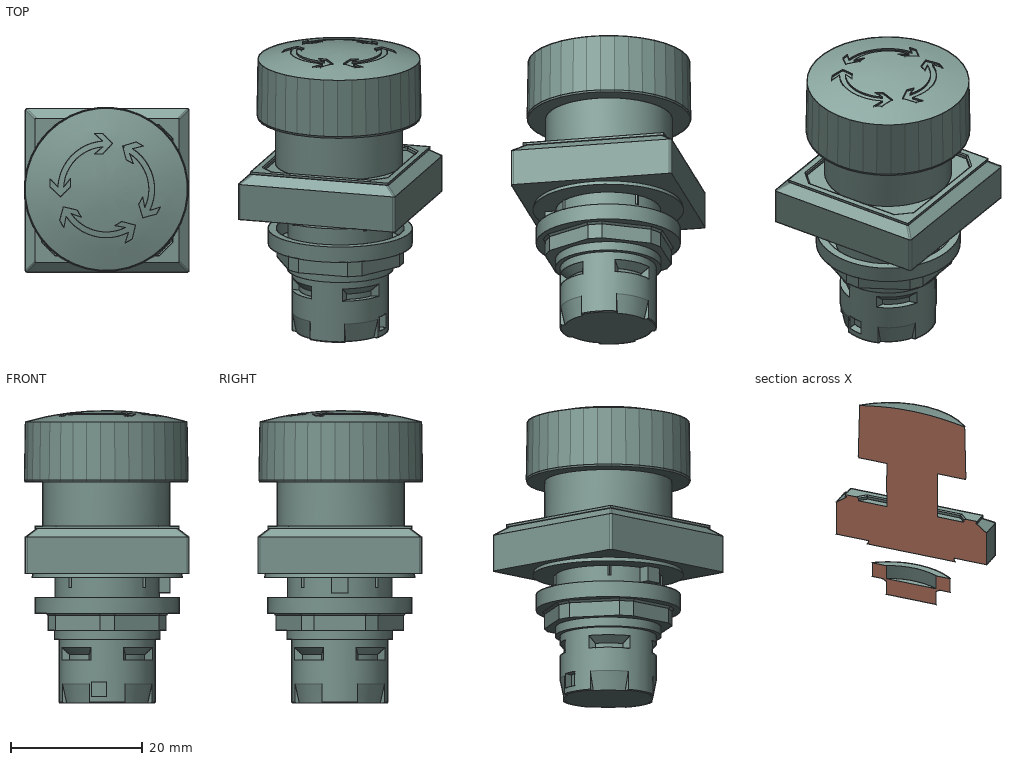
import cadquery as cq
import math

overall_height = 44.61

barrel_d = 14.7
barrel_edge_chamfer = 0.15
z_collar_bottom = 9.72
collar_d = 16.15

z_nut_bottom = 11.09
z_nut_flare = 13.36
z_washer_bottom = 13.7
z_washer_top = 16.13
nut_across_flats = 18.0
nut_across_corners = 19.5
nut_flare = 0.3
washer_d = 22.0
washer_recess_d = 19.5
z_washer_recess = 13.9

z_neck_top = 19.15
neck_d = 16.0
key_reach = 9.6
key_width = 2.5
z_key_bottom = 16.83
lug_square = 11.68
lug_d = 16.5
z_lug_bottom = 17.64

gasket_d_top = 22.7
gasket_d_bottom = 23.0

z_bezel_bottom = 19.75
z_bezel_shoulder = 25.3
z_bezel_lip = 26.62
z_bezel_top = 26.98
bezel_side = 25.0
bezel_slope_side = 21.5
bezel_lip_side = 21.96
bezel_corner_radius = 0.35
recess_side = 19.7
recess_corner = 2.15
recess_depth = 0.6
recess_rim_chamfer = 0.18

knob_offset_x = -0.15
knob_offset_y = 0.15
stem_d = 19.4
z_knob_bottom = 33.75
knob_bottom_chamfer = 0.3
knob_chamfer_inset = 0.1
z_knob_shoulder = 42.9
knob_facets = 36
knob_facet_phase = 6.0
knob_bottom_radius = 12.52
knob_top_radius = 12.37

arrow_count = 3
arrow_depth = 0.25
arrow_mid_angle = 135.0
arrow_inner_radius = 6.5
arrow_outer_radius = 7.38
arrow_tip = (1.05, 6.98)
arrow_turn = 0.7
arrow_head_length = 1.5
arrow_barb_length = 1.25
arrow_head_half_width = 1.55

diagonals = (45, 135, 225, 315)
z_window_bottom = 6.55
z_window_top = 8.5
window_inner_top_drop = 1.1
window_inner_radius = 6.35
window_outer_half_width = 3.13
window_outer_distance = 6.65
window_inner_half_width = 2.09
window_inner_distance = 6.0

cone_cut_height = 2.94
cone_cut_inset = 2.73
cone_cut_bottom_radius = 6.75

pocket_left = -2.4
pocket_right = -0.1
z_pocket_bottom = 1.0
z_pocket_top = 3.22
pocket_floor_radius = 6.1

cut_margin = 1.0


def cylinder(diameter, z_bottom, z_top):
    return cq.Workplane("XY").workplane(offset=z_bottom).circle(diameter / 2).extrude(z_top - z_bottom)


def revolved(points):
    """Revolve an (r, z) outline about the Z axis."""
    return cq.Workplane("XZ").polyline(points).close().revolve(360, (0, 0, 0), (0, 1, 0))


def lofted(points_bottom, z_bottom, points_top, z_top):
    """Ruled solid between two polygons that have matching corners."""
    return (
        cq.Workplane("XY").workplane(offset=z_bottom).polyline(points_bottom).close()
        .workplane(offset=z_top - z_bottom).polyline(points_top).close()
        .loft(ruled=True, combine=True)
    )


def clipped_square(side, corner):
    """Corners of a square whose corners are clipped by `corner` along each side."""
    half = side / 2
    inner = half - corner
    return [
        (half, -inner), (half, inner), (inner, half), (-inner, half),
        (-half, inner), (-half, -inner), (-inner, -half), (inner, -half),
    ]


def nut_outline(growth):
    """Clipped hexagon with flats on +-X, every face moved out by `growth`."""
    flat_distance = nut_across_flats / 2 + growth
    clip_distance = nut_across_corners / 2 + growth
    corner_distance = flat_distance / math.cos(math.radians(30))
    clip_half = (corner_distance - clip_distance) * math.tan(math.radians(60))
    points = []
    for index in range(6):
        angle = math.radians(30 + 60 * index)
        for side in (-clip_half, clip_half):
            x = clip_distance * math.cos(angle) - side * math.sin(angle)
            y = clip_distance * math.sin(angle) + side * math.cos(angle)
            points.append((x, y))
    return points


def on_diagonals(shape):
    """Copies of a shape built along +X, turned onto each diagonal."""
    copies = cq.Workplane("XY")
    for angle in diagonals:
        copies = copies.add(shape.rotate((0, 0, 0), (0, 0, 1), angle))
    return copies.combine()


def window_cutter():
    """Ring with a conical roof, limited to a tapered wedge on each diagonal."""
    barrel_radius = barrel_d / 2
    outer_radius = barrel_radius + cut_margin
    roof_slope = window_inner_top_drop / (barrel_radius - window_inner_radius)
    ring = revolved([
        (window_inner_radius, z_window_bottom),
        (outer_radius, z_window_bottom),
        (outer_radius, z_window_top + roof_slope * cut_margin),
        (window_inner_radius, z_window_top - window_inner_top_drop),
    ])
    side_slope = (window_outer_half_width - window_inner_half_width) / (
        window_outer_distance - window_inner_distance
    )
    near = window_inner_distance - cut_margin / 2
    far = outer_radius
    near_half = window_inner_half_width + side_slope * (near - window_inner_distance)
    far_half = window_inner_half_width + side_slope * (far - window_inner_distance)
    wedge = (
        cq.Workplane("XY")
        .polyline([(near, -near_half), (far, -far_half), (far, far_half), (near, near_half)])
        .close()
        .extrude(z_collar_bottom + cut_margin)
    )
    return ring.intersect(on_diagonals(wedge))


def cone_cut():
    """Conical ring that deepens downwards, limited to four quadrants clear of both axes."""
    barrel_radius = barrel_d / 2
    outer_radius = barrel_radius + cut_margin
    ring = revolved([
        (cone_cut_bottom_radius, 0),
        (outer_radius, 0),
        (outer_radius, cone_cut_height),
        (barrel_radius, cone_cut_height),
    ])
    side = outer_radius - cone_cut_inset
    quadrants = cq.Workplane("XY")
    for x in (-outer_radius, outer_radius):
        for y in (-outer_radius, outer_radius):
            x_inner = math.copysign(cone_cut_inset, x)
            y_inner = math.copysign(cone_cut_inset, y)
            center = ((x + x_inner) / 2, (y + y_inner) / 2)
            quadrants = quadrants.moveTo(*center).rect(side, side)
    return ring.intersect(quadrants.extrude(cone_cut_height))


def pocket_cutter():
    """Square opening that faces -Y and ends on a floor concentric with the barrel."""
    width = pocket_right - pocket_left
    depth = barrel_d / 2 + cut_margin
    block = cq.Workplane("XY").box(width, depth, z_pocket_top - z_pocket_bottom, centered=False)
    block = block.translate((pocket_left, -depth, z_pocket_bottom))
    return block.cut(cylinder(2 * pocket_floor_radius, z_pocket_bottom, z_pocket_top))


def make_barrel():
    barrel = cylinder(barrel_d, 0, z_collar_bottom).faces("<Z").chamfer(barrel_edge_chamfer)
    barrel = barrel.cut(window_cutter()).cut(cone_cut()).cut(pocket_cutter())
    return barrel.union(cylinder(collar_d, z_collar_bottom, z_nut_bottom))


def make_nut():
    plain = nut_outline(0)
    nut = cq.Workplane("XY").workplane(offset=z_nut_bottom).polyline(plain).close()
    nut = nut.extrude(z_nut_flare - z_nut_bottom)
    flare = lofted(plain, z_nut_flare, nut_outline(nut_flare), z_washer_bottom)
    washer = cylinder(washer_d, z_washer_bottom, z_washer_top)
    washer = washer.cut(cylinder(washer_recess_d, z_washer_recess, z_washer_top))
    return nut.union(flare).union(washer)


def make_neck():
    neck = cylinder(neck_d, z_washer_recess, z_neck_top)
    key_height = z_neck_top - z_key_bottom
    key = cq.Workplane("XY").workplane(offset=z_key_bottom).rect(key_reach, key_width)
    key = key.extrude(key_height).translate((key_reach / 2, 0, 0))
    lugs = cq.Workplane("XY").workplane(offset=z_lug_bottom).rect(lug_square, lug_square)
    lugs = lugs.extrude(z_neck_top - z_lug_bottom).intersect(cylinder(lug_d, z_lug_bottom, z_neck_top))
    gasket = revolved([
        (0, z_neck_top),
        (gasket_d_bottom / 2, z_neck_top),
        (gasket_d_top / 2, z_bezel_bottom),
        (0, z_bezel_bottom),
    ])
    return neck.union(key).union(lugs).union(gasket)


def square(side, z_bottom):
    return cq.Workplane("XY").workplane(offset=z_bottom).rect(side, side)


def make_bezel():
    bezel = square(bezel_side, z_bezel_bottom).extrude(z_bezel_shoulder - z_bezel_bottom)
    slope_rise = z_bezel_lip - z_bezel_shoulder
    slope = square(bezel_side, z_bezel_shoulder).workplane(offset=slope_rise)
    slope = slope.rect(bezel_slope_side, bezel_slope_side).loft(ruled=True)
    bezel = bezel.union(slope)
    bezel = bezel.edges("not #Z").fillet(bezel_corner_radius)
    bezel = bezel.union(square(bezel_lip_side, z_bezel_lip).extrude(z_bezel_top - z_bezel_lip))
    wall_outline = clipped_square(recess_side, recess_corner)
    rim_outline = clipped_square(recess_side + 2 * recess_rim_chamfer, recess_corner)
    recess = cq.Workplane("XY").workplane(offset=z_bezel_top - recess_depth)
    recess = recess.polyline(wall_outline).close().extrude(recess_depth)
    rim = lofted(wall_outline, z_bezel_top - recess_rim_chamfer, rim_outline, z_bezel_top)
    return bezel.cut(recess).cut(rim)


def knob_outline(radius):
    points = []
    for index in range(knob_facets):
        angle = math.radians(knob_facet_phase + index * 360 / knob_facets)
        points.append((radius * math.cos(angle), radius * math.sin(angle)))
    return points


def dome(drop):
    """Spherical cap over the knob, lowered by `drop`, with a solid core below it."""
    rise = overall_height - z_knob_shoulder
    edge = knob_top_radius * math.cos(math.pi / knob_facets)
    sphere_radius = (edge ** 2 + rise ** 2) / (2 * rise)
    mid_r = edge / 2
    mid_z = overall_height - sphere_radius + math.sqrt(sphere_radius ** 2 - mid_r ** 2)
    return (
        cq.Workplane("XZ")
        .moveTo(0, z_knob_bottom + knob_bottom_chamfer)
        .lineTo(edge, z_knob_bottom + knob_bottom_chamfer)
        .lineTo(edge, z_knob_shoulder - drop)
        .threePointArc((mid_r, mid_z - drop), (0, overall_height - drop))
        .close()
        .revolve(360, (0, 0, 0), (0, 1, 0))
    )


def arrow_prism():
    """Double-headed arrow on an arc, mirror-symmetric about the line y = -x."""
    tip_x, tip_y = arrow_tip
    notch_x = tip_x - arrow_head_length
    barb_x = notch_x - arrow_barb_length
    outer_notch = (notch_x, math.sqrt(arrow_outer_radius ** 2 - notch_x ** 2))
    inner_notch = (notch_x, math.sqrt(arrow_inner_radius ** 2 - notch_x ** 2))
    head = [
        outer_notch,
        (barb_x, tip_y + arrow_head_half_width),
        (notch_x, tip_y + arrow_head_half_width),
        arrow_tip,
        (notch_x, tip_y - arrow_head_half_width),
        (barb_x, tip_y - arrow_head_half_width),
        inner_notch,
    ]
    tail = [(-y, -x) for x, y in reversed(head)]
    mid = math.radians(arrow_mid_angle)
    inner_mid = (arrow_inner_radius * math.cos(mid), arrow_inner_radius * math.sin(mid))
    outer_mid = (arrow_outer_radius * math.cos(mid), arrow_outer_radius * math.sin(mid))
    outline = cq.Workplane("XY").workplane(offset=z_knob_shoulder).moveTo(*head[0])
    for point in head[1:]:
        outline = outline.lineTo(*point)
    outline = outline.threePointArc(inner_mid, tail[0])
    for point in tail[1:]:
        outline = outline.lineTo(*point)
    outline = outline.threePointArc(outer_mid, head[0]).close()
    return outline.extrude(overall_height + cut_margin - z_knob_shoulder)


def make_knob():
    z_chamfer = z_knob_bottom + knob_bottom_chamfer
    widest = knob_outline(knob_bottom_radius)
    narrowed = knob_outline(knob_bottom_radius - knob_chamfer_inset)
    knob = lofted(widest, z_chamfer, knob_outline(knob_top_radius), z_knob_shoulder)
    knob = knob.union(lofted(narrowed, z_knob_bottom, widest, z_chamfer))
    knob = knob.union(dome(0))
    engraving_floor = dome(arrow_depth)
    arrow = arrow_prism().cut(engraving_floor)
    for index in range(arrow_count):
        knob = knob.cut(arrow.rotate((0, 0, 0), (0, 0, 1), arrow_turn + index * 360 / arrow_count))
    stem = cylinder(stem_d, z_bezel_top - recess_depth, z_knob_bottom)
    return knob.union(stem).translate((knob_offset_x, knob_offset_y, 0))


result = make_barrel()
for section in (make_nut(), make_neck(), make_bezel(), make_knob()):
    result = result.union(section)